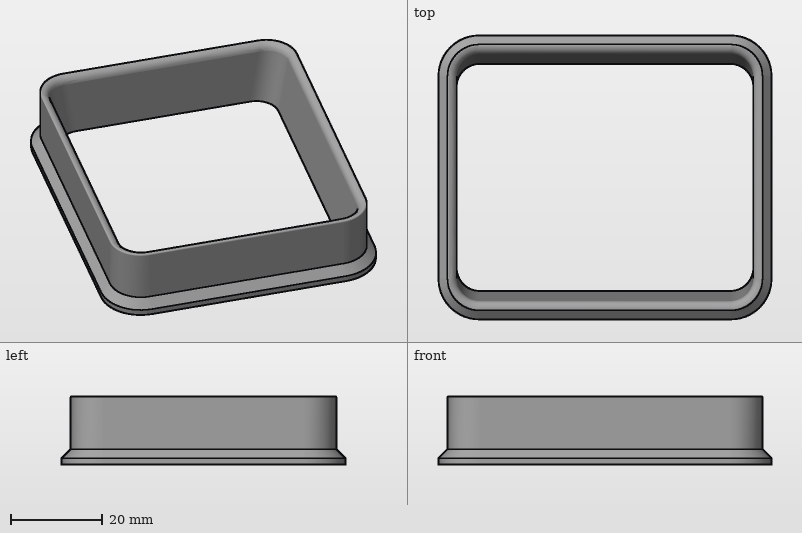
import cadquery as cq

length = 73.17
width = 62.39
height = 14.98
flange_radius = 9.0
flange_edge_height = 1.4
flange_bevel = 2.0

wall_length = length - 2 * flange_bevel
wall_width = width - 2 * flange_bevel
wall_radius = flange_radius - flange_bevel
end_wall_thickness = 2.06
side_wall_top_thickness = 1.85
side_wall_lean = 2.45

opening_length = wall_length - 2 * end_wall_thickness
opening_top_width = wall_width - 2 * side_wall_top_thickness
opening_bottom_width = opening_top_width - 2 * side_wall_lean
opening_radius = 5.0

outer_rim_fillet = 0.3
inner_rim_fillet = 1.7


def rounded_rectangle(size_x, size_y, radius):
    """Flat closed outline on the XY plane, centred on the origin."""
    return cq.Sketch().rect(size_x, size_y).vertices().fillet(radius)


def make_flange():
    outline = rounded_rectangle(length, width, flange_radius)
    flange = cq.Workplane("XY").placeSketch(outline).extrude(flange_edge_height + flange_bevel)
    return flange.faces(">Z").chamfer(flange_bevel)


def make_wall():
    outline = rounded_rectangle(wall_length, wall_width, wall_radius)
    wall = cq.Workplane("XY").placeSketch(outline).extrude(height)
    return wall.faces(">Z").edges().fillet(outer_rim_fillet)


def make_opening():
    bottom = rounded_rectangle(opening_length, opening_bottom_width, opening_radius)
    top = rounded_rectangle(opening_length, opening_top_width, opening_radius)
    top = top.moved(cq.Location(cq.Vector(0, 0, height)))
    return cq.Workplane("XY").placeSketch(bottom, top).loft(ruled=True)


def round_inner_rim(frame):
    rim_face = frame.faces(">Z").val()
    inner_edges = rim_face.innerWires()[0].Edges()
    return frame.newObject(inner_edges).fillet(inner_rim_fillet)


frame = make_flange().union(make_wall()).cut(make_opening())
result = round_inner_rim(frame)